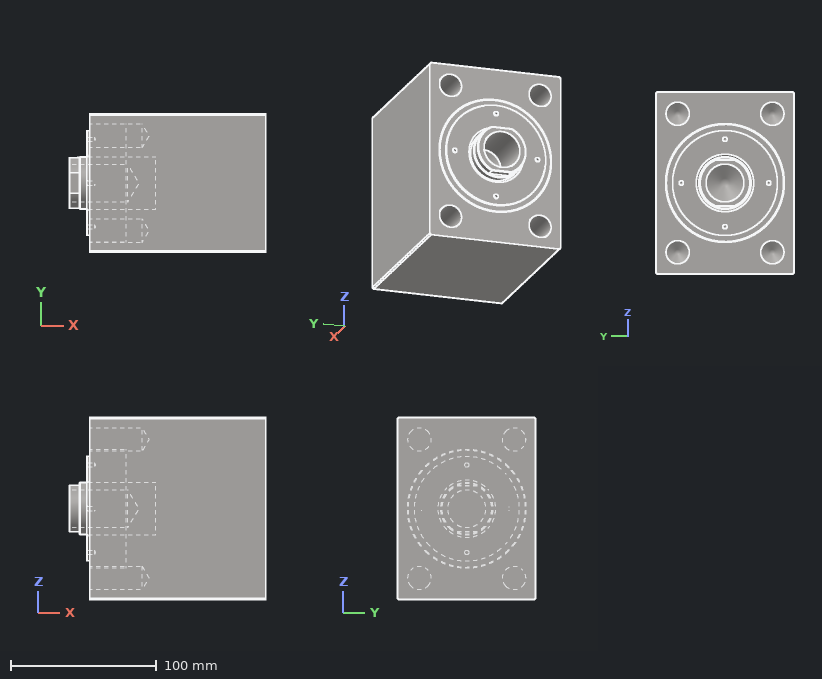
import cadquery as cq
import math


BLOCK_LENGTH = 121.0
BLOCK_WIDTH = 95.0
BLOCK_HEIGHT = 125.0
BLOCK_EDGE_CHAMFER = 1.0

MOUNT_SPACING_Y = 65.0
MOUNT_SPACING_Z = 95.0
MOUNT_DIAMETER = 16.0
MOUNT_DEPTH = 36.0

CAP_DIAMETER = 81.0
CAP_DEPTH = 25.0
CAP_RIM_CHAMFER = 0.3
BOSS_DIAMETER = 72.0
BOSS_HEIGHT = 1.8
WIPER_DIAMETER = 39.5

SPANNER_COUNT = 4
SPANNER_CIRCLE = 60.0
SPANNER_DIAMETER = 3.0
SPANNER_DEPTH = 5.0

ROD_DIAMETER = 36.0
ROD_PROJECTION = 14.0
ROD_EMBEDDED = 45.0
TIP_DIAMETER = 35.0
TIP_LENGTH = 7.0
TIP_CHAMFER = 0.5
FLAT_WIDTH = 32.0
ROD_HOLE_DIAMETER = 26.0
ROD_HOLE_DEPTH = 40.0

DRILL_POINT_ANGLE = 118.0


def revolve_about_x(profile):
    """Revolve (x, radius) points about the X axis."""
    return cq.Workplane("XY").polyline(profile).close().revolve(360, (0, 0, 0), (1, 0, 0))


def drilled_hole(diameter, depth, start_x, y=0.0, z=0.0):
    """Cutter for a blind hole along +X with a conical drill point."""
    radius = diameter / 2
    point_length = radius / math.tan(math.radians(DRILL_POINT_ANGLE / 2))
    profile = [
        (start_x, 0),
        (start_x, radius),
        (start_x + depth, radius),
        (start_x + depth + point_length, 0),
    ]
    return revolve_about_x(profile).translate((0, y, z))


def make_block():
    block = (
        cq.Workplane("XY")
        .box(BLOCK_LENGTH, BLOCK_WIDTH, BLOCK_HEIGHT)
        .translate((BLOCK_LENGTH / 2, 0, 0))
        .edges("|X")
        .chamfer(BLOCK_EDGE_CHAMFER)
    )
    recess_radius = CAP_DIAMETER / 2
    cap_recess = revolve_about_x([
        (0, 0),
        (0, recess_radius + CAP_RIM_CHAMFER),
        (CAP_RIM_CHAMFER, recess_radius),
        (CAP_DEPTH, recess_radius),
        (CAP_DEPTH, 0),
    ])
    rod_bore = cq.Workplane("YZ").circle(ROD_DIAMETER / 2).extrude(ROD_EMBEDDED)
    block = block.cut(cap_recess).cut(rod_bore)
    for side_y in (-1, 1):
        for side_z in (-1, 1):
            y = side_y * MOUNT_SPACING_Y / 2
            z = side_z * MOUNT_SPACING_Z / 2
            block = block.cut(drilled_hole(MOUNT_DIAMETER, MOUNT_DEPTH, 0, y, z))
    return block


def make_cap():
    cap_radius = CAP_DIAMETER / 2
    boss_radius = BOSS_DIAMETER / 2
    rod_radius = ROD_DIAMETER / 2
    wiper_radius = WIPER_DIAMETER / 2
    wiper_depth = wiper_radius - rod_radius
    cap = revolve_about_x([
        (-BOSS_HEIGHT, wiper_radius),
        (-BOSS_HEIGHT, boss_radius),
        (0, boss_radius),
        (0, cap_radius - CAP_RIM_CHAMFER),
        (CAP_RIM_CHAMFER, cap_radius),
        (CAP_DEPTH, cap_radius),
        (CAP_DEPTH, rod_radius),
        (wiper_depth - BOSS_HEIGHT, rod_radius),
    ])
    for index in range(SPANNER_COUNT):
        angle = 2 * math.pi * index / SPANNER_COUNT
        y = SPANNER_CIRCLE / 2 * math.cos(angle)
        z = SPANNER_CIRCLE / 2 * math.sin(angle)
        cap = cap.cut(drilled_hole(SPANNER_DIAMETER, SPANNER_DEPTH, -BOSS_HEIGHT, y, z))
    return cap


def make_rod():
    rod_radius = ROD_DIAMETER / 2
    tip_radius = TIP_DIAMETER / 2
    shoulder_bevel = rod_radius - tip_radius
    tip_x = -ROD_PROJECTION
    shoulder_x = tip_x + TIP_LENGTH
    rod = revolve_about_x([
        (tip_x, 0),
        (tip_x, tip_radius),
        (shoulder_x, tip_radius),
        (shoulder_x + shoulder_bevel, rod_radius),
        (ROD_EMBEDDED, rod_radius),
        (ROD_EMBEDDED, 0),
    ])
    for side in (-1, 1):
        flat_cutter = (
            cq.Workplane("XY")
            .box(TIP_LENGTH, ROD_DIAMETER, ROD_DIAMETER)
            .translate((tip_x + TIP_LENGTH / 2, 0, side * (FLAT_WIDTH + ROD_DIAMETER) / 2))
        )
        rod = rod.cut(flat_cutter)
    rod = rod.faces("<X").edges().chamfer(TIP_CHAMFER)
    return rod.cut(drilled_hole(ROD_HOLE_DIAMETER, ROD_HOLE_DEPTH, tip_x))


block = make_block()
cap = make_cap()
rod = make_rod()

result = cq.Compound.makeCompound([block.val(), cap.val(), rod.val()])